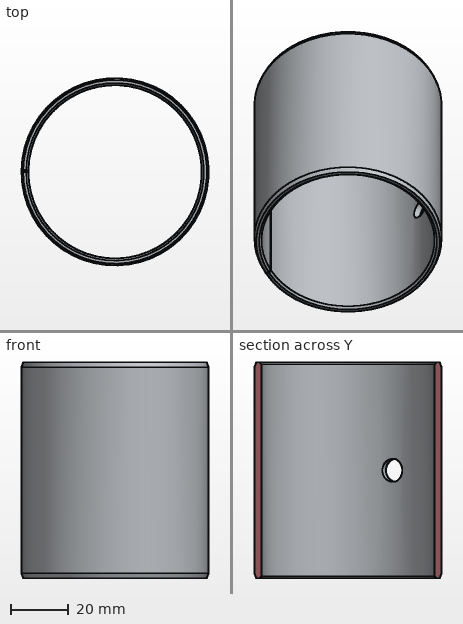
import cadquery as cq
import math

outer_diameter = 65.0
wall_thickness = 2.5
length = 75.0

outer_chamfer_length = 1.8
outer_chamfer_angle = 20.0
inner_chamfer = 0.8

split_angle = 1.0

oil_hole_diameter = 8.0
oil_hole_from_joint = 120.0

outer_radius = outer_diameter / 2
inner_radius = outer_radius - wall_thickness
half_length = length / 2
outer_chamfer_depth = outer_chamfer_length * math.tan(math.radians(outer_chamfer_angle))
full_turn = 360.0
joint_start_angle = 180.0
oil_hole_angle = joint_start_angle - split_angle - oil_hole_from_joint


def make_split_sleeve():
    """Sweep the chamfered wall section about Z, leaving the joint open at -X."""
    face_outer_radius = outer_radius - outer_chamfer_depth
    face_inner_radius = inner_radius + inner_chamfer
    outer_chamfer_z = half_length - outer_chamfer_length
    inner_chamfer_z = half_length - inner_chamfer
    section = [
        (inner_radius, -inner_chamfer_z),
        (face_inner_radius, -half_length),
        (face_outer_radius, -half_length),
        (outer_radius, -outer_chamfer_z),
        (outer_radius, outer_chamfer_z),
        (face_outer_radius, half_length),
        (face_inner_radius, half_length),
        (inner_radius, inner_chamfer_z),
    ]
    wall = cq.Workplane("XZ").polyline(section).close()
    sleeve = wall.revolve(full_turn - split_angle, (0, 0), (0, 1))
    return sleeve.rotate((0, 0, 0), (0, 0, 1), joint_start_angle)


def make_oil_hole():
    """Radial cylinder from the axis out through one wall."""
    cylinder = cq.Workplane("YZ").circle(oil_hole_diameter / 2).extrude(outer_diameter)
    return cylinder.rotate((0, 0, 0), (0, 0, 1), oil_hole_angle)


result = make_split_sleeve().cut(make_oil_hole())